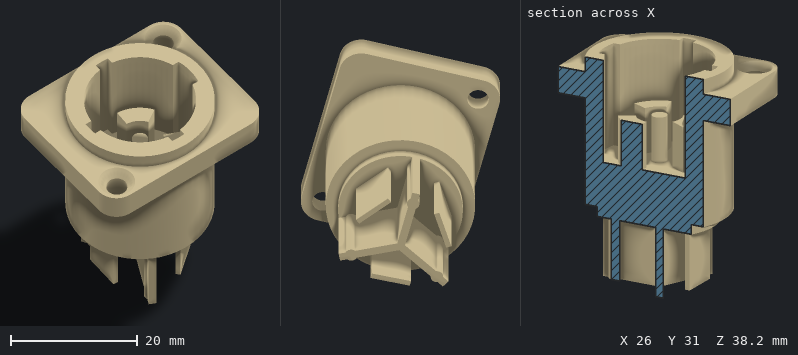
import cadquery as cq
import math

total_height = 38.2
flange_top = 35.7
flange_bottom = 31.2
body_bottom = 13.3
collar_bottom = 11.65
tab_bottom = 1.5
socket_floor = 21.0
contact_top = 28.7

flange_width = 26.0
flange_length = 31.0
corner_radius = 3.48

screw_x = 9.55
screw_y = 12.0
screw_diameter = 3.35
countersink_diameter = 5.8
countersink_angle = 90

body_radius = 11.8
collar_radius = 9.85
socket_radius = 8.85
key_radius = 9.97
wide_key_width = 5.08
narrow_key_width = 2.4

contact_angles = (39, 149, 269)
contact_span = 54
contact_inner_radius = 3.8
contact_outer_radius = 6.55
pin_radius = 1.3

tab_angles = (38, 148, 268)
tab_outer_radius = 7.4
tab_thickness = 0.85
tab_width = 6.35

arm_angles = (90, 209, 334)
arm_thickness = 1.25
rib_radius = 1.0
rib_distance = 7.95

joint_overlap = 0.4


def cylinder(radius, bottom, top):
    return cq.Workplane("XY").workplane(offset=bottom).circle(radius).extrude(top - bottom)


def radial_bar(inner, outer, width, bottom, top, angle):
    """Rectangular bar running outward from the axis between two distances."""
    bar = cq.Workplane("XY").box(outer - inner, width, top - bottom, centered=(False, True, False))
    return bar.translate((inner, 0, bottom)).rotate((0, 0, 0), (0, 0, 1), angle)


def polar(radius, angle):
    radians = math.radians(angle)
    return (radius * math.cos(radians), radius * math.sin(radians))


def make_housing():
    flange = (
        cq.Workplane("XY")
        .workplane(offset=flange_bottom)
        .rect(flange_width, flange_length)
        .extrude(flange_top - flange_bottom)
        .edges("|Z")
        .fillet(corner_radius)
    )
    body = cylinder(body_radius, body_bottom, total_height)
    collar = cylinder(collar_radius, collar_bottom, body_bottom + joint_overlap)
    drilled_flange = (
        flange.faces(">Z")
        .workplane(origin=(0, 0, flange_top))
        .pushPoints([(-screw_x, screw_y), (screw_x, -screw_y)])
        .cskHole(screw_diameter, countersink_diameter, countersink_angle)
    )
    return drilled_flange.union(body).union(collar)


def make_socket():
    """Socket cavity: a round bore with one wide and three narrow keyways."""
    keys = cq.Workplane("XY")
    for angle in (0, 90, 180, 270):
        width = wide_key_width if angle == 90 else narrow_key_width
        keys = keys.union(radial_bar(0, key_radius, width, socket_floor, total_height, angle))
    keys = keys.intersect(cylinder(key_radius, socket_floor, total_height))
    return cylinder(socket_radius, socket_floor, total_height).union(keys)


def make_contact(angle):
    """Arc-shaped contact standing on the socket floor."""
    start = angle - contact_span / 2
    end = angle + contact_span / 2
    bottom = socket_floor - joint_overlap
    return (
        cq.Workplane("XY")
        .workplane(offset=bottom)
        .moveTo(*polar(contact_inner_radius, start))
        .lineTo(*polar(contact_outer_radius, start))
        .threePointArc(polar(contact_outer_radius, angle), polar(contact_outer_radius, end))
        .lineTo(*polar(contact_inner_radius, end))
        .threePointArc(polar(contact_inner_radius, angle), polar(contact_inner_radius, start))
        .close()
        .extrude(contact_top - bottom)
    )


def make_divider():
    top = collar_bottom + joint_overlap
    divider = cq.Workplane("XY")
    for angle in arm_angles:
        rib_x, rib_y = polar(rib_distance, angle)
        rib = cylinder(rib_radius, 0, top).translate((rib_x, rib_y, 0))
        arm = radial_bar(0, collar_radius, arm_thickness, 0, top, angle)
        divider = divider.union(arm).union(rib)
    return divider.intersect(cylinder(collar_radius, 0, top))


result = make_housing().cut(make_socket())
for contact_angle in contact_angles:
    result = result.union(make_contact(contact_angle))
result = result.union(cylinder(pin_radius, socket_floor - joint_overlap, contact_top))
result = result.union(make_divider())
for tab_angle in tab_angles:
    tab = radial_bar(
        tab_outer_radius - tab_thickness,
        tab_outer_radius,
        tab_width,
        tab_bottom,
        collar_bottom + joint_overlap,
        tab_angle,
    )
    result = result.union(tab)